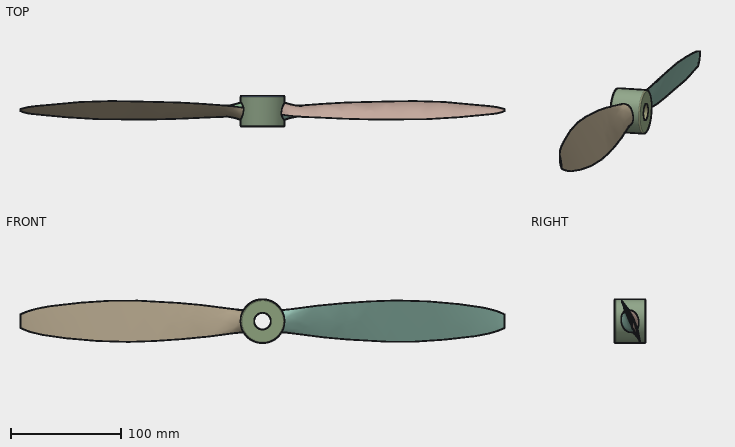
import cadquery as cq
import math

span = 440.0

hub_diameter = 40.0
hub_width = 28.0
hub_edge_round = 1.1
bore_radius = 7.5

blade_root = 15.5
blade_sections = [
    (blade_root, 10.0, 15, 0.0, 9.5, 9.5),
    (22.0, 10.5, 20, 0.0, 7.0, 7.0),
    (35.0, 12.5, 22, 0.0, 3.0, 2.0),
    (61.5, 15.5, 24, 0.5, 3.0, 1.0),
    (97.0, 18.0, 24, 0.5, 3.0, 0.5),
    (132.0, 19.0, 24, 1.0, 3.0, 0.5),
    (167.0, 16.5, 24, 1.0, 2.5, 0.5),
    (193.5, 13.5, 20, 1.0, 2.0, 0.5),
    (207.0, 11.0, 19, 1.0, 1.8, 0.5),
    (span / 2, 6.0, 8, 1.0, 1.0, 0.5),
]


def make_hub():
    blank = cq.Workplane("XZ", origin=(0, hub_width / 2, 0)).circle(hub_diameter / 2).extrude(hub_width)
    return blank.faces("<Y or >Y").edges().fillet(hub_edge_round)


def section_wire(distance, half_height, pitch, offset, back_bulge, front_bulge):
    """Two-arc section of the -X blade, with its top edge leaning toward +Y."""
    angle = math.radians(pitch)
    lean = half_height * math.tan(angle)
    normal_y = math.cos(angle)
    normal_z = -math.sin(angle)

    top = cq.Vector(-distance, offset + lean, half_height)
    bottom = cq.Vector(-distance, offset - lean, -half_height)
    back = cq.Vector(-distance, offset + back_bulge * normal_y, back_bulge * normal_z)
    front = cq.Vector(-distance, offset - front_bulge * normal_y, -front_bulge * normal_z)
    return cq.Wire.assembleEdges([
        cq.Edge.makeThreePointArc(top, back, bottom),
        cq.Edge.makeThreePointArc(bottom, front, top),
    ])


def make_blade():
    wires = [section_wire(*section) for section in blade_sections]
    return cq.Workplane(cq.Solid.makeLoft(wires))


def make_bore():
    return cq.Workplane("XZ").circle(bore_radius).extrude(hub_width, both=True)


blade = make_blade()
opposite_blade = blade.rotate((0, 0, 0), (0, 1, 0), 180)
result = make_hub().union(blade).union(opposite_blade).cut(make_bore())